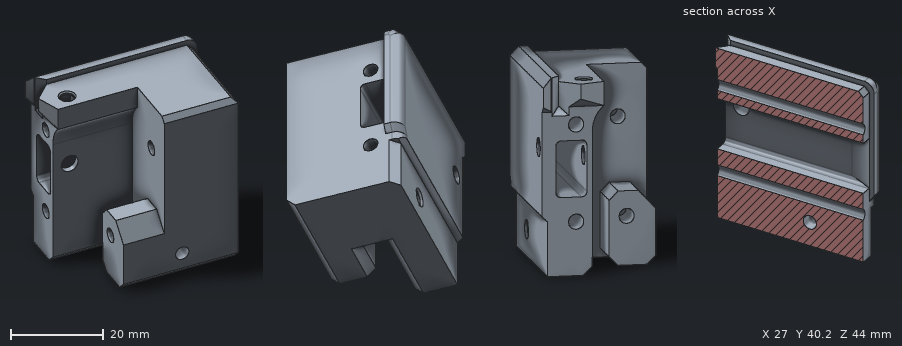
import cadquery as cq
import math

WIDTH = 27.0
DEPTH = 40.25
HEIGHT = 44.0

RIB_STEP = 1.25
RIB_WIDTH = 4.0
RIB_ROUND = 2.5
RIB_LEFT_FOOT = 12.05
RIB_BACK_FOOT = 14.1
RIB_FOOT_RISE = 1.75

EDGE_CHAMFER = 2.0
BODY_LEFT = RIB_STEP
BODY_BACK = DEPTH - RIB_STEP
BODY_TOP = HEIGHT - RIB_STEP
BODY_FRONT = 21.15

ARM_FRONT = 2.02
ARM_RIGHT = 11.1
ARM_HEAD_RIGHT = 13.65
ARM_HEAD_BOTTOM = 37.45
ARM_FLARE_RADIUS = 7.5

NOSE_TIP_X = 8.15
RIB_TIP_Y = 0.7
VEE_ROOT_Y = 3.85
RIB_INNER_Y = VEE_ROOT_Y - (RIB_WIDTH - EDGE_CHAMFER)
VEE_FLOOR = 35.5
RIB_LIP_BOTTOM = 36.4

BOSS_LEFT = 16.68
BOSS_FRONT = 11.3
BOSS_TOP = 16.5
BOSS_SLOPE_TOP_X = 23.2
BOSS_SLOPE_END_Z = 12.4

WINDOW_LEFT = 3.05
WINDOW_RIGHT = 9.9
WINDOW_BOTTOM = 17.42
WINDOW_TOP = 29.95
WINDOW_CORNER = 1.2
WINDOW_END_RADIUS = 13.2

ARM_HOLE_D = 3.35
ARM_HOLE_X = 7.52
ARM_HOLE_ZS = (11.95, 33.5)
BLIND_HOLE_D = 3.3
BLIND_HOLE_X = 20.55
BLIND_HOLE_DEPTH = 8.8
UPPER_BLIND_Z = 31.0
LOWER_BLIND_Z = 10.9
SCREW_HOLE_D = 3.2
SIDE_HOLE_Y = 25.48
SIDE_HOLE_Z = 5.95
SIDE_SINK_D = 4.22
TOP_HOLE_X = 10.0
TOP_HOLE_Y = 6.0
TOP_SINK_D = 3.85
TOP_HOLE_DEPTH = 0.8
NUT_SIZE = 3.1
NUT_POCKET_BOTTOM = 37.4
SLANT_HOLE_D = 4.0
SLANT_HOLE_Y = 6.05
SLANT_HOLE_Z = 28.05
SLANT_ANGLE = 12.5


def front_prism(outline, front, back):
    """Extrude a closed XZ outline from the front Y to the back Y."""
    return outline.close().extrude(front - back).translate((0, front, 0))


def front_polygon(points, front, back):
    return front_prism(cq.Workplane("XZ").polyline(points), front, back)


def side_polygon(points, left, right):
    """Extrude a closed YZ polygon from the left X to the right X."""
    return cq.Workplane("YZ").polyline(points).close().extrude(right - left).translate((left, 0, 0))


def cylinder(start, direction, diameter, length):
    return cq.Workplane(
        cq.Solid.makeCylinder(diameter / 2, length, cq.Vector(*start), cq.Vector(*direction))
    )


def countersink(start, direction, outer, inner):
    """Ninety degree cone, widest at the start point."""
    depth = (outer - inner) / 2
    cone = cq.Solid.makeCone(outer / 2, inner / 2, depth, cq.Vector(*start), cq.Vector(*direction))
    return cq.Workplane(cone)


def make_body():
    """Main block behind the arm, bevelled at the top, the right and the back left."""
    block = front_polygon(
        [
            (BODY_LEFT, 0),
            (WIDTH - EDGE_CHAMFER, 0),
            (WIDTH, EDGE_CHAMFER),
            (WIDTH, BODY_TOP - RIB_STEP),
            (WIDTH - RIB_STEP, BODY_TOP),
            (BODY_LEFT, BODY_TOP),
        ],
        BODY_FRONT,
        BODY_BACK,
    )
    block = block.edges(">Y and >Z").chamfer(RIB_STEP)
    return block.edges("|Z and >Y and <X").chamfer(EDGE_CHAMFER)


def make_arm():
    """Upright arm whose right side flares out below its head."""
    flare_run = ARM_HEAD_RIGHT - ARM_RIGHT
    flare_angle = math.acos(1 - flare_run / ARM_FLARE_RADIUS)
    flare_start = ARM_HEAD_BOTTOM - ARM_FLARE_RADIUS * math.sin(flare_angle)
    flare_middle = (
        ARM_RIGHT + ARM_FLARE_RADIUS * (1 - math.cos(flare_angle / 2)),
        flare_start + ARM_FLARE_RADIUS * math.sin(flare_angle / 2),
    )
    outline = (
        cq.Workplane("XZ")
        .moveTo(BODY_LEFT, 0)
        .lineTo(ARM_RIGHT - EDGE_CHAMFER, 0)
        .lineTo(ARM_RIGHT, EDGE_CHAMFER)
        .lineTo(ARM_RIGHT, flare_start)
        .threePointArc(flare_middle, (ARM_HEAD_RIGHT, ARM_HEAD_BOTTOM))
        .lineTo(ARM_HEAD_RIGHT, BODY_TOP)
        .lineTo(BODY_LEFT, BODY_TOP)
    )
    return front_prism(outline, ARM_FRONT, BODY_FRONT)


def make_rib():
    """Left rib with a bevelled top edge and rounded back edges."""
    rib = front_polygon(
        [
            (0, 0),
            (0, HEIGHT - EDGE_CHAMFER),
            (EDGE_CHAMFER, HEIGHT),
            (RIB_WIDTH, HEIGHT),
            (RIB_WIDTH, 0),
        ],
        ARM_FRONT,
        DEPTH,
    )
    rib = rib.faces(">Y").edges("<X or >Z or >(-1, 0, 1)").fillet(RIB_ROUND)
    shoulder = RIB_BACK_FOOT + RIB_FOOT_RISE
    rib = rib.cut(cq.Workplane("XY").box(WIDTH, 2 * DEPTH, shoulder, centered=(True, True, False)))

    foot_plan = (
        cq.Workplane("XY")
        .moveTo(0, ARM_FRONT)
        .lineTo(0, BODY_BACK - RIB_ROUND)
        .radiusArc((RIB_ROUND, BODY_BACK), RIB_ROUND)
        .lineTo(RIB_WIDTH, BODY_BACK)
        .lineTo(RIB_WIDTH, ARM_FRONT)
        .close()
    )
    foot = foot_plan.extrude(shoulder)
    slant = cq.Solid.extrudeLinear(foot_plan.val(), [], cq.Vector(0, RIB_STEP, RIB_FOOT_RISE))
    rib = rib.union(foot).union(cq.Workplane(slant).translate((0, 0, RIB_BACK_FOOT)))

    under_left = front_polygon(
        [
            (0, 0),
            (0, RIB_LEFT_FOOT + RIB_STEP),
            (BODY_LEFT, RIB_LEFT_FOOT),
            (RIB_WIDTH, RIB_LEFT_FOOT),
            (RIB_WIDTH, 0),
        ],
        0,
        DEPTH,
    )
    return rib.cut(under_left)


def make_boss():
    return front_polygon(
        [
            (BOSS_LEFT + EDGE_CHAMFER, 0),
            (WIDTH - EDGE_CHAMFER, 0),
            (WIDTH, EDGE_CHAMFER),
            (WIDTH, BOSS_SLOPE_END_Z),
            (BOSS_SLOPE_TOP_X, BOSS_TOP),
            (BOSS_LEFT + EDGE_CHAMFER, BOSS_TOP),
            (BOSS_LEFT, BOSS_TOP - EDGE_CHAMFER),
            (BOSS_LEFT, EDGE_CHAMFER),
        ],
        BOSS_FRONT,
        BODY_FRONT,
    )


def overhang(plan, bottom, profile):
    """Front projection of the given plan, kept inside an XZ profile, with a 45 degree underside."""
    block = cq.Workplane("XY").polyline(plan).close().extrude(HEIGHT)
    slope = side_polygon(
        [(ARM_FRONT, bottom), (ARM_FRONT, HEIGHT), (0, HEIGHT), (0, bottom + ARM_FRONT)], 0, WIDTH
    )
    return block.intersect(slope).intersect(front_polygon(profile, 0, ARM_FRONT))


def make_rib_lip():
    plan = [(0, ARM_FRONT), (0, RIB_TIP_Y), (EDGE_CHAMFER, RIB_INNER_Y), (EDGE_CHAMFER, ARM_FRONT)]
    profile = [
        (0, 0),
        (0, HEIGHT - EDGE_CHAMFER),
        (EDGE_CHAMFER, HEIGHT),
        (RIB_WIDTH, HEIGHT),
        (RIB_WIDTH, 0),
    ]
    return overhang(plan, RIB_LIP_BOTTOM, profile)


def make_nose():
    plan = [(RIB_WIDTH, ARM_FRONT), (NOSE_TIP_X, 0), (ARM_HEAD_RIGHT, ARM_FRONT)]
    profile = [(0, 0), (0, BODY_TOP), (WIDTH, BODY_TOP), (WIDTH, 0)]
    return overhang(plan, ARM_HEAD_BOTTOM, profile)


def make_vee_groove():
    """Groove between rib and nose, with a floor that rises towards the back."""
    plan = [
        (EDGE_CHAMFER, RIB_INNER_Y),
        (RIB_WIDTH, VEE_ROOT_Y),
        (NOSE_TIP_X, 0),
        (EDGE_CHAMFER, 0),
    ]
    vee = cq.Workplane("XY").polyline(plan).close().extrude(HEIGHT)
    above_floor = side_polygon(
        [
            (0, VEE_FLOOR - ARM_FRONT),
            (VEE_ROOT_Y, VEE_FLOOR + VEE_ROOT_Y - ARM_FRONT),
            (VEE_ROOT_Y, HEIGHT),
            (0, HEIGHT),
        ],
        0,
        WIDTH,
    )
    return vee.intersect(above_floor)


def make_window():
    """Window along Y; its left wall curves inwards towards the back face."""
    end_inset = RIB_WIDTH - WINDOW_LEFT
    end_angle = math.acos(1 - end_inset / WINDOW_END_RADIUS)
    bend_start = BODY_BACK - WINDOW_END_RADIUS * math.sin(end_angle)
    bend_middle = (
        WINDOW_LEFT + WINDOW_END_RADIUS * (1 - math.cos(end_angle / 2)),
        bend_start + WINDOW_END_RADIUS * math.sin(end_angle / 2),
    )
    opening = front_polygon(
        [
            (WINDOW_LEFT, WINDOW_BOTTOM),
            (WINDOW_RIGHT, WINDOW_BOTTOM),
            (WINDOW_RIGHT, WINDOW_TOP),
            (WINDOW_LEFT, WINDOW_TOP),
        ],
        0,
        DEPTH,
    )
    opening = opening.edges("|Y").fillet(WINDOW_CORNER)
    plan = (
        cq.Workplane("XY")
        .moveTo(WINDOW_LEFT, 0)
        .lineTo(WINDOW_LEFT, bend_start)
        .threePointArc(bend_middle, (RIB_WIDTH, BODY_BACK))
        .lineTo(RIB_WIDTH, DEPTH)
        .lineTo(WINDOW_RIGHT, DEPTH)
        .lineTo(WINDOW_RIGHT, 0)
        .close()
        .extrude(HEIGHT)
    )
    return opening.intersect(plan)


def make_holes():
    right, back, down = (1, 0, 0), (0, 1, 0), (0, 0, -1)
    holes = [cylinder((ARM_HOLE_X, 0, z), back, ARM_HOLE_D, DEPTH) for z in ARM_HOLE_ZS]

    for front, z in ((BODY_FRONT, UPPER_BLIND_Z), (BOSS_FRONT, LOWER_BLIND_Z)):
        holes.append(cylinder((BLIND_HOLE_X, front, z), back, BLIND_HOLE_D, BLIND_HOLE_DEPTH))

    side_start = (BODY_LEFT, SIDE_HOLE_Y, SIDE_HOLE_Z)
    holes.append(cylinder(side_start, right, SCREW_HOLE_D, WIDTH))
    holes.append(countersink(side_start, right, SIDE_SINK_D, SCREW_HOLE_D))

    top_start = (TOP_HOLE_X, TOP_HOLE_Y, BODY_TOP)
    pocket_top = BODY_TOP - TOP_HOLE_DEPTH
    holes.append(cylinder(top_start, down, SCREW_HOLE_D, TOP_HOLE_DEPTH))
    holes.append(countersink(top_start, down, TOP_SINK_D, SCREW_HOLE_D))
    holes.append(
        cq.Workplane("XY", origin=(TOP_HOLE_X, TOP_HOLE_Y, NUT_POCKET_BOTTOM))
        .rect(NUT_SIZE, NUT_SIZE)
        .extrude(pocket_top - NUT_POCKET_BOTTOM)
    )

    tilt = math.radians(SLANT_ANGLE)
    axis = (math.cos(tilt), 0, -math.sin(tilt))
    slant_start = (-SLANT_HOLE_D * axis[0], SLANT_HOLE_Y, SLANT_HOLE_Z - SLANT_HOLE_D * axis[2])
    holes.append(cylinder(slant_start, axis, SLANT_HOLE_D, WIDTH))
    return holes


result = make_body()
for part in (make_arm(), make_rib(), make_boss(), make_rib_lip(), make_nose()):
    result = result.union(part)
for cutter in (make_vee_groove(), make_window(), *make_holes()):
    result = result.cut(cutter)